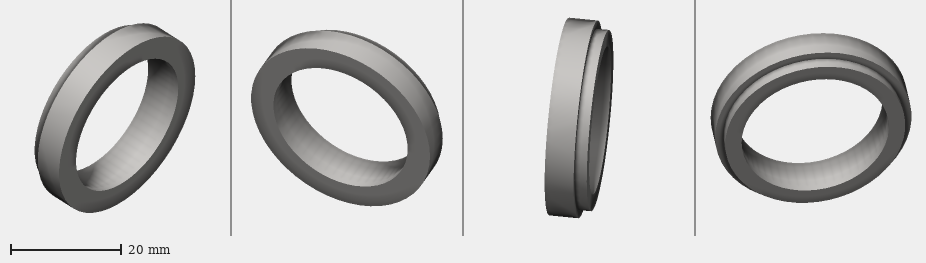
import cadquery as cq

outer_diameter = 36.0
shoulder_diameter = 33.0
bore_diameter = 27.0
total_width = 7.5
shoulder_width = 2.2
rim_width = total_width - shoulder_width

shoulder = cq.Workplane("YZ").circle(shoulder_diameter / 2).extrude(shoulder_width)
rim = (
    cq.Workplane("YZ")
    .workplane(offset=shoulder_width)
    .circle(outer_diameter / 2)
    .extrude(rim_width)
)

bore = cq.Workplane("YZ").circle(bore_diameter / 2).extrude(total_width)

result = shoulder.union(rim).cut(bore)